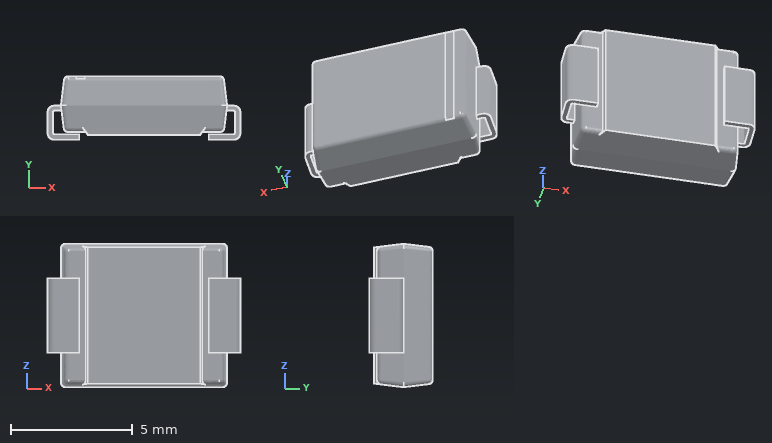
import cadquery as cq
import math

housing_length = 6.845
housing_height = 5.91
back_y = 1.21
front_y = -1.095
draft_angle = 7.0
edge_radius = 0.2

pad_face_y = -1.22
pad_face_half_width = 2.3
pad_flank_slope = 0.7

overall_length = 7.94
lead_front_y = -1.41
lead_height = 3.065
lead_thickness = 0.24
rear_leg_thickness = 0.215
lead_outer_radius = 0.285
lead_inner_radius = 0.05
foot_length = 1.31

mark_center_x = -2.62
mark_width = 0.35
mark_depth = 0.1


def drafted_half(end_y):
    """Block narrowing from the parting plane to end_y, with sharp edges."""
    parting_plane = cq.Workplane("XZ")
    shrink = 2 * abs(end_y) * math.tan(math.radians(draft_angle))
    return (
        parting_plane.rect(housing_length, housing_height)
        .workplane(offset=-end_y)
        .rect(housing_length - shrink, housing_height - shrink)
        .loft(ruled=True)
    )


def rounded_half(end_y, end_face):
    """Drafted half with its corner edges and end face edges rounded."""
    half = drafted_half(end_y)
    corner_edges = half.edges("not(#Y or |X or |Z)")
    half = corner_edges.fillet(edge_radius)
    return half.faces(end_face).edges().fillet(edge_radius)


def make_pad():
    """Front pad with sloping flanks, its top and bottom following the housing draft."""
    root_half_width = pad_face_half_width - pad_face_y * pad_flank_slope
    flanks = (
        cq.Workplane("XY")
        .polyline([
            (-pad_face_half_width, pad_face_y),
            (pad_face_half_width, pad_face_y),
            (root_half_width, 0),
            (-root_half_width, 0),
        ])
        .close()
        .extrude(housing_height / 2, both=True)
    )
    return drafted_half(pad_face_y).intersect(flanks)


def make_lead_blank():
    """C-shaped lead at the -X end, its rear leg running on inside the housing wall."""
    outer_x = -overall_length / 2
    inner_x = outer_x + lead_thickness
    leg_end_x = outer_x + foot_length
    foot_inner_y = lead_front_y + lead_thickness
    profile = (
        cq.Workplane("XY")
        .moveTo(leg_end_x, 0)
        .lineTo(outer_x, 0)
        .lineTo(outer_x, lead_front_y)
        .lineTo(leg_end_x, lead_front_y)
        .lineTo(leg_end_x, foot_inner_y)
        .lineTo(inner_x, foot_inner_y)
        .lineTo(inner_x, -rear_leg_thickness)
        .lineTo(leg_end_x, -rear_leg_thickness)
        .close()
        .extrude(lead_height / 2, both=True)
    )
    outer_bends = profile.edges("|Z").edges("<X")
    profile = outer_bends.fillet(lead_outer_radius)
    inner_bends = cq.selectors.BoxSelector(
        (inner_x - lead_inner_radius, lead_front_y, -lead_height),
        (inner_x + lead_inner_radius, 0, lead_height),
    )
    return profile.edges("|Z").edges(inner_bends).fillet(lead_inner_radius)


def make_mark_blank():
    """Strip running the full height of the back face."""
    return (
        cq.Workplane("XY")
        .center(mark_center_x, back_y - mark_depth / 2)
        .rect(mark_width, mark_depth)
        .extrude(housing_height / 2, both=True)
    )


solid_housing = (
    rounded_half(back_y, ">Y")
    .union(rounded_half(front_y, "<Y"))
    .union(make_pad())
)

mark = make_mark_blank().intersect(solid_housing)
housing = solid_housing.cut(mark)

left_lead = make_lead_blank().cut(solid_housing)
leads = [left_lead.rotate((0, 0, 0), (0, 1, 0), angle) for angle in (0, 180)]

result = cq.Compound.makeCompound(
    [housing.val(), mark.val()] + [lead.val() for lead in leads]
)